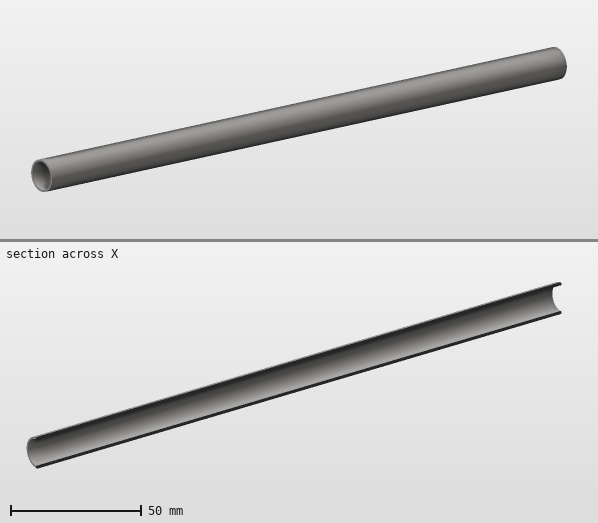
import cadquery as cq

length = 254.0
outer_diameter = 12.7
wall = 0.8
inner_diameter = outer_diameter - 2 * wall

result = (
    cq.Workplane("XZ", origin=(0, length / 2, 0))
    .circle(outer_diameter / 2)
    .circle(inner_diameter / 2)
    .extrude(length)
)